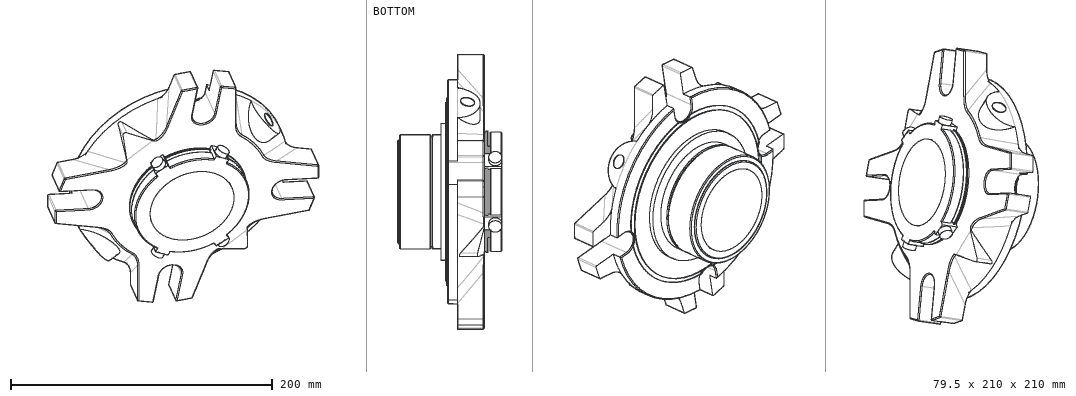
import cadquery as cq
import math


COLLAR_END = 79.5
COLLAR_START = 70.3
RIM_END = 68.9
RIM_START = 67.6
LUG_REAR = 66.1
LUG_FRONT = 45.8
PLATE_FRONT = 38.0
RAISED_FACE_FRONT = 37.4
SEAL_FACE_FRONT = 36.5
SHOULDER_FRONT = 33.0
GROOVE_END = 26.7
GROOVE_START = 25.6
SLEEVE_START = 1.3

BORE_DIA = 66.8
NOSE_DIA = 79.4
SLEEVE_DIA = 87.5
GROOVE_DIA = 84.2
SPIGOT_DIA = 87.3
SHOULDER_DIA = 104.8
SEAL_FACE_DIA = 136.5
RAISED_FACE_DIA = 143.2
PLATE_DIA = 171.5
HUB_DIA = 91.5
RIM_DIA = 93.0
NECK_DIA = 70.0
COLLAR_DIA = 91.5

SLEEVE_CHAMFER = 0.8
COLLAR_CHAMFER = 0.8
PLATE_CHAMFER = 0.8

TIP_DISTANCE = 105.0
LUG_SIDE_OFFSET = 39.3
SLOT_ANGLE = 9.8
SLOT_COUNT = 4
SLOT_WIDTH = 18.0
SLOT_FLOOR_RADIUS = 69.0
LUG_ROOT_FILLET = 8.5
LUG_TIP_FILLET = 0.8
LUG_REAR_CHAMFER = 0.8
CONE_REAR_RADIUS = PLATE_DIA / 2 - (LUG_REAR - LUG_FRONT)

PORT_ANGLE = SLOT_ANGLE + 180 / SLOT_COUNT
PORT_BOSS_DIA = 39.9
PORT_BOSS_X = 43.0
PORT_BOSS_BASE_RADIUS = 26.0
PORT_TAPER = 10.0
PORT_HOLE_DIA = 11.0
PORT_HOLE_X = 53.3
PORT_RECESS = 0.6

PAD_ANGLE = PORT_ANGLE - 360 / SLOT_COUNT
PAD_BASE_RADIUS = 28.0
PAD_HALF_ANGLE = 31.0
PAD_TIP_RADIUS = 84.5
PAD_TIP_ROUND = 2.0
PAD_TIP_LENGTH_END = 60.3

CLIP_ANGLE = 30.0
CLIP_WIDTH = 11.3
CLIP_OUTER_RADIUS = 48.5
CLIP_INNER_RADIUS = 44.0
SCREW_HEAD_DIA = 10.0
SCREW_HEAD_TOP = 53.0


def turn(shape, angle):
    """Turn a shape about X; positive angles go from +Z toward +Y."""
    return shape.rotate((0, 0, 0), (1, 0, 0), -angle)


def disc(start, end, diameter):
    return cq.Workplane("YZ", origin=(start, 0, 0)).circle(diameter / 2).extrude(end - start)


def cone(start, end, start_radius, end_radius):
    profile = [(start, 0), (start, start_radius), (end, end_radius), (end, 0)]
    return cq.Workplane("XY").polyline(profile).close().revolve(360, (0, 0, 0), (1, 0, 0))


def slots():
    floor_centre = SLOT_FLOOR_RADIUS + SLOT_WIDTH / 2
    length = TIP_DISTANCE
    cutter = (
        cq.Workplane("YZ")
        .center(0, floor_centre + length / 2)
        .rect(SLOT_WIDTH, length)
        .extrude(COLLAR_END)
        .union(cq.Workplane("YZ").center(0, floor_centre).circle(SLOT_WIDTH / 2).extrude(COLLAR_END))
    )
    first = turn(cutter, SLOT_ANGLE)
    pattern = first
    for i in range(1, SLOT_COUNT):
        pattern = pattern.union(turn(first, i * 360 / SLOT_COUNT))
    return pattern


def lug_pair():
    """The two lugs beside the upper slot, before the slot is cut."""
    tip_angle = math.radians(2 * SLOT_ANGLE)
    axis_angle = math.radians(SLOT_ANGLE)
    tip_z = (TIP_DISTANCE - LUG_SIDE_OFFSET * math.sin(tip_angle)) / math.cos(tip_angle)
    apex_radius = TIP_DISTANCE / math.cos(axis_angle)
    apex = (apex_radius * math.sin(axis_angle), apex_radius * math.cos(axis_angle))
    outline = [(0, 0), (LUG_SIDE_OFFSET, LUG_SIDE_OFFSET), (LUG_SIDE_OFFSET, tip_z), apex]
    lug = (
        cq.Workplane("YZ", origin=(LUG_FRONT, 0, 0))
        .polyline(outline)
        .close()
        .extrude(LUG_REAR - LUG_FRONT)
    )
    centred = turn(lug, -SLOT_ANGLE)
    return turn(centred.union(centred.mirror("XZ")), SLOT_ANGLE)


def edge_radius(edge):
    return math.hypot(edge.Center().y, edge.Center().z)


def is_root_edge(edge):
    """Edges where a lug side meets the cone."""
    box = edge.BoundingBox()
    spans_depth = box.xlen > 0.9 * (LUG_REAR - LUG_FRONT)
    return spans_depth and edge.geomType() != "LINE"


def lug_ring():
    ring = cone(LUG_FRONT, LUG_REAR, PLATE_DIA / 2, CONE_REAR_RADIUS)
    pair = lug_pair()
    for i in range(SLOT_COUNT):
        ring = ring.union(turn(pair, i * 360 / SLOT_COUNT))
    roots = [e for e in ring.edges().vals() if is_root_edge(e)]
    ring = ring.newObject(roots).fillet(LUG_ROOT_FILLET)
    ring = ring.cut(slots())
    tips = [e for e in ring.edges("|X").vals() if edge_radius(e) > 0.95 * TIP_DISTANCE]
    ring = ring.newObject(tips).fillet(LUG_TIP_FILLET)
    return ring.faces(">X").edges().chamfer(LUG_REAR_CHAMFER)


def mount_plate():
    plate = disc(PLATE_FRONT, LUG_FRONT, PLATE_DIA).cut(slots())
    return plate.faces("<X").edges().chamfer(PLATE_CHAMFER)


def turned_steps():
    sleeve = disc(SLEEVE_START, GROOVE_START, SLEEVE_DIA).edges().chamfer(SLEEVE_CHAMFER)
    nose = disc(0, SLEEVE_START, NOSE_DIA).faces("<X").edges().chamfer(SLEEVE_CHAMFER)
    raised_face = disc(RAISED_FACE_FRONT, PLATE_FRONT, RAISED_FACE_DIA).cut(slots())
    collar = disc(COLLAR_START, COLLAR_END, COLLAR_DIA).edges().chamfer(COLLAR_CHAMFER)
    return (
        nose.union(sleeve)
        .union(disc(GROOVE_START, GROOVE_END, GROOVE_DIA))
        .union(disc(GROOVE_END, SHOULDER_FRONT, SPIGOT_DIA))
        .union(disc(SHOULDER_FRONT, SEAL_FACE_FRONT, SHOULDER_DIA))
        .union(disc(SEAL_FACE_FRONT, RAISED_FACE_FRONT, SEAL_FACE_DIA))
        .union(raised_face)
        .union(disc(LUG_REAR, RIM_START, HUB_DIA))
        .union(disc(RIM_START, RIM_END, RIM_DIA))
        .union(disc(RIM_END, COLLAR_START, NECK_DIA))
        .union(collar)
    )


def port_crown_radius(x):
    return PLATE_DIA / 2 - (x - LUG_FRONT) * math.tan(math.radians(PORT_TAPER))


def port_boss():
    """Round radial boss topped by a shallow cone about X."""
    boss = (
        cq.Workplane("XY", origin=(PORT_BOSS_X, 0, CONE_REAR_RADIUS - 10.5))
        .circle(PORT_BOSS_DIA / 2)
        .extrude(PLATE_DIA / 2)
    )
    crown = cone(LUG_FRONT, LUG_REAR, port_crown_radius(LUG_FRONT), port_crown_radius(LUG_REAR))
    return boss.intersect(crown)


def port_recess():
    centre = port_crown_radius(PORT_HOLE_X) - PORT_RECESS
    cutter = cq.Workplane("XY").circle(PORT_HOLE_DIA / 2).extrude(PLATE_DIA / 2)
    cutter = cutter.rotate((0, 0, 0), (0, 1, 0), PORT_TAPER)
    return cutter.translate((PORT_HOLE_X, 0, centre))


def wedge_pad():
    """Pad with a V outline whose rounded tip points outward and whose back slopes."""
    base_radius = CONE_REAR_RADIUS - 6.3
    sharp_tip = PAD_TIP_RADIUS + PAD_TIP_ROUND * (1 / math.sin(math.radians(PAD_HALF_ANGLE)) - 1)
    half_base = (sharp_tip - base_radius) * math.tan(math.radians(PAD_HALF_ANGLE))
    pad = (
        cq.Workplane("YZ", origin=(LUG_FRONT, 0, 0))
        .polyline([(-half_base, base_radius), (0, sharp_tip), (half_base, base_radius)])
        .close()
        .extrude(LUG_REAR - LUG_FRONT)
    )
    tip = [e for e in pad.edges("|X").vals() if edge_radius(e) > PAD_TIP_RADIUS]
    pad = pad.newObject(tip).fillet(PAD_TIP_ROUND)
    back_slope = (
        cq.Workplane("XZ")
        .polyline([(PAD_TIP_LENGTH_END, sharp_tip), (LUG_REAR, sharp_tip), (LUG_REAR, CONE_REAR_RADIUS)])
        .close()
        .extrude(half_base, both=True)
    )
    return pad.cut(back_slope)


def clip():
    """Setting clip with its round screw head."""
    height = CLIP_OUTER_RADIUS - CLIP_INNER_RADIUS
    length = COLLAR_END - LUG_REAR
    plate = cq.Workplane("XY").box(length, CLIP_WIDTH, height, centered=(False, True, False))
    plate = plate.translate((LUG_REAR, 0, CLIP_INNER_RADIUS))
    head = (
        cq.Workplane("XY", origin=(COLLAR_END - SCREW_HEAD_DIA / 2, 0, CLIP_INNER_RADIUS))
        .circle(SCREW_HEAD_DIA / 2)
        .extrude(SCREW_HEAD_TOP - CLIP_INNER_RADIUS)
    )
    return plate.union(head)


ring = lug_ring()
for half_turn in (0, 180):
    ring = ring.union(turn(wedge_pad(), PAD_ANGLE + half_turn))
    ring = ring.union(turn(port_boss(), PORT_ANGLE + half_turn))
    ring = ring.cut(turn(port_recess(), PORT_ANGLE + half_turn))

body = turned_steps().union(mount_plate()).union(ring)
for angle in (CLIP_ANGLE, -CLIP_ANGLE, 180 - CLIP_ANGLE, 180 + CLIP_ANGLE):
    body = body.union(turn(clip(), angle))

result = body.cut(disc(0, COLLAR_END, BORE_DIA))